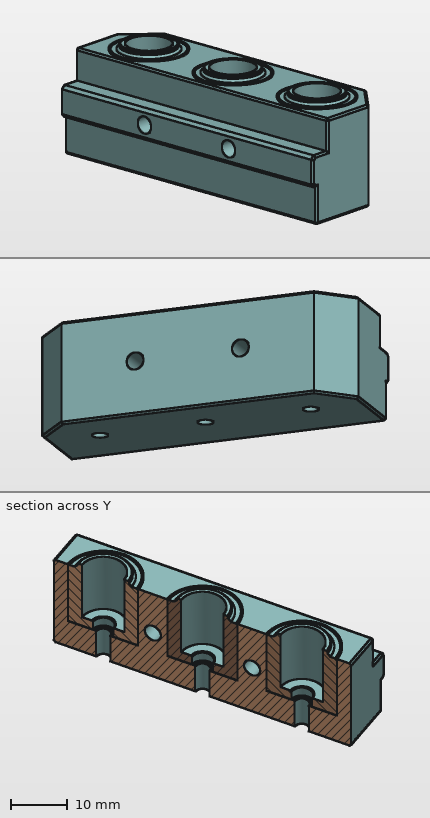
import cadquery as cq

LENGTH = 60.0
DEPTH = 20.75
BLOCK_HEIGHT = 18.95
EDGE_CHAMFER = 0.39
CORNER_CUT = 6.0

STEP_DEPTH = 3.95
UNDERCUT_DEPTH = 1.1
LEDGE_BOTTOM = 7.0
LEDGE_TOP = 12.95
LEDGE_CHAMFER = 0.65

CROSS_HOLE_DIAMETER = 3.2
CROSS_HOLE_HEIGHT = (LEDGE_BOTTOM + LEDGE_TOP) / 2

BUSHING_COUNT = 3
PITCH = LENGTH / BUSHING_COUNT
BUSHING_Y = 12.25
BUSHING_XS = [(i - (BUSHING_COUNT - 1) / 2) * PITCH for i in range(BUSHING_COUNT)]
CROSS_HOLE_XS = [x + PITCH / 2 for x in BUSHING_XS[:-1]]

TOTAL_HEIGHT = 20.0
BUSHING_DIAMETER = 14.05
BUSHING_CHAMFER = 0.25
POCKET_CHAMFER = 0.1
COLLAR_BASE_DIAMETER = 11.5
COLLAR_DIAMETER = 10.45
COLLAR_CONE_HEIGHT = (COLLAR_BASE_DIAMETER - COLLAR_DIAMETER) / 2
COLLAR_CHAMFER = 0.2
BORE_DIAMETER = 8.45
POCKET_FLOOR = 6.0
CUP_FLOOR_THICKNESS = 2.0
CUP_HOLE_DIAMETER = 4.1
CUP_HOLE_CHAMFER = 0.2

DRAIN_DIAMETER = 2.8
DRAIN_MOUTH_DIAMETER = 3.2
DRAIN_CHAMFER = (DRAIN_MOUTH_DIAMETER - DRAIN_DIAMETER) / 2


def make_stepped_bar():
    """Bar with the ledge along its front and both rear corners cut at 45 degrees."""
    profile = [
        (DEPTH, 0),
        (DEPTH, BLOCK_HEIGHT),
        (STEP_DEPTH, BLOCK_HEIGHT),
        (STEP_DEPTH, LEDGE_TOP),
        (LEDGE_CHAMFER, LEDGE_TOP),
        (0, LEDGE_TOP - LEDGE_CHAMFER),
        (0, LEDGE_BOTTOM + LEDGE_CHAMFER),
        (LEDGE_CHAMFER, LEDGE_BOTTOM),
        (UNDERCUT_DEPTH, LEDGE_BOTTOM),
        (UNDERCUT_DEPTH, 0),
    ]
    bar = cq.Workplane("YZ").polyline(profile).close().extrude(LENGTH / 2, both=True)
    rear_corners = bar.edges("|Z and >Y")
    return rear_corners.chamfer(CORNER_CUT)


def chamfer_outer_edges(bar):
    """Chamfer the rims of the top, bottom and end faces, except upright edges of the corner cuts."""
    rims = bar.faces("<Z or >Z or <X or >X").edges()
    corner_cut_edges = bar.faces("<X or >X").edges(">Y").vals()
    kept_rims = [edge for edge in rims.vals() if edge not in corner_cut_edges]
    return rims.newObject(kept_rims).chamfer(EDGE_CHAMFER)


def revolve_upright(outline, x):
    """Turn a (radius, height) outline about the upright axis of the bushing at x."""
    turned = cq.Workplane("XZ").polyline(outline).close().revolve(360, (0, 0), (0, 1))
    return turned.translate((x, BUSHING_Y, 0))


def make_pocket_tool(x):
    """Bushing pocket with the chamfered drain hole under it, centred at x."""
    outline = [
        (0, 0),
        (DRAIN_DIAMETER / 2, 0),
        (DRAIN_DIAMETER / 2, POCKET_FLOOR - DRAIN_CHAMFER),
        (DRAIN_MOUTH_DIAMETER / 2, POCKET_FLOOR),
        (BUSHING_DIAMETER / 2, POCKET_FLOOR),
        (BUSHING_DIAMETER / 2, BLOCK_HEIGHT - POCKET_CHAMFER),
        (BUSHING_DIAMETER / 2 + POCKET_CHAMFER, BLOCK_HEIGHT),
        (0, BLOCK_HEIGHT),
    ]
    return revolve_upright(outline, x)


def make_block():
    block = chamfer_outer_edges(make_stepped_bar())
    for x in BUSHING_XS:
        block = block.cut(make_pocket_tool(x))
    for x in CROSS_HOLE_XS:
        cross_hole = cq.Solid.makeCylinder(
            CROSS_HOLE_DIAMETER / 2, DEPTH, cq.Vector(x, 0, CROSS_HOLE_HEIGHT), cq.Vector(0, 1, 0)
        )
        block = block.cut(cq.Workplane(cross_hole))
    return block


def make_bushing(x):
    cup_floor = POCKET_FLOOR + CUP_FLOOR_THICKNESS
    outline = [
        (CUP_HOLE_DIAMETER / 2, POCKET_FLOOR),
        (BUSHING_DIAMETER / 2, POCKET_FLOOR),
        (BUSHING_DIAMETER / 2, BLOCK_HEIGHT - BUSHING_CHAMFER),
        (BUSHING_DIAMETER / 2 - BUSHING_CHAMFER, BLOCK_HEIGHT),
        (COLLAR_BASE_DIAMETER / 2, BLOCK_HEIGHT),
        (COLLAR_DIAMETER / 2, BLOCK_HEIGHT + COLLAR_CONE_HEIGHT),
        (COLLAR_DIAMETER / 2, TOTAL_HEIGHT - COLLAR_CHAMFER),
        (COLLAR_DIAMETER / 2 - COLLAR_CHAMFER, TOTAL_HEIGHT),
        (BORE_DIAMETER / 2, TOTAL_HEIGHT),
        (BORE_DIAMETER / 2, cup_floor),
        (CUP_HOLE_DIAMETER / 2 + CUP_HOLE_CHAMFER, cup_floor),
        (CUP_HOLE_DIAMETER / 2, cup_floor - CUP_HOLE_CHAMFER),
    ]
    return revolve_upright(outline, x)


block = make_block()
bushings = [make_bushing(x) for x in BUSHING_XS]

result = cq.Compound.makeCompound([block.val(), *[bushing.val() for bushing in bushings]])